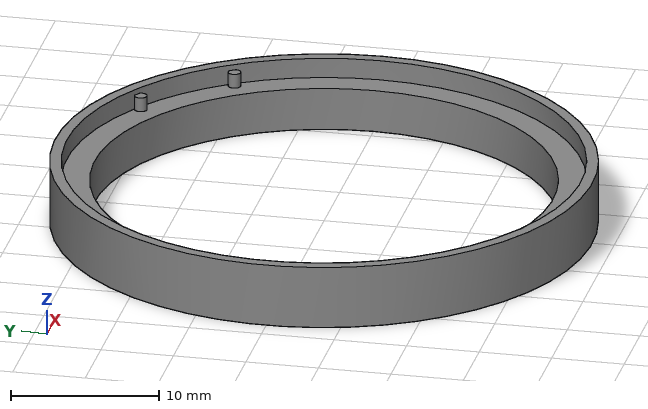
import cadquery as cq
import math

outer_diameter = 37.0
bore_diameter = 31.6
ring_height = 4.4

recess_diameter = 35.4
recess_depth = 1.4
ledge_height = ring_height - recess_depth

pin_diameter = 0.85
pin_height = 1.0
pin_center_radius = 17.35
pin_pair_direction = 45.0
pin_half_spread = 12.5


def make_ring():
    """Plain ring with a through bore and a wider recess in its top."""
    ring = cq.Workplane("XY").circle(outer_diameter / 2).circle(bore_diameter / 2).extrude(ring_height)
    recess = cq.Workplane("XY").workplane(offset=ledge_height).circle(recess_diameter / 2).extrude(recess_depth)
    return ring.cut(recess)


def make_pin(angle):
    """Upright pin on the ledge at the given angle from +X."""
    x = pin_center_radius * math.cos(math.radians(angle))
    y = pin_center_radius * math.sin(math.radians(angle))
    return cq.Workplane("XY").center(x, y).circle(pin_diameter / 2).extrude(ledge_height + pin_height)


result = make_ring()
for side in (-1, 1):
    result = result.union(make_pin(pin_pair_direction + side * pin_half_spread))